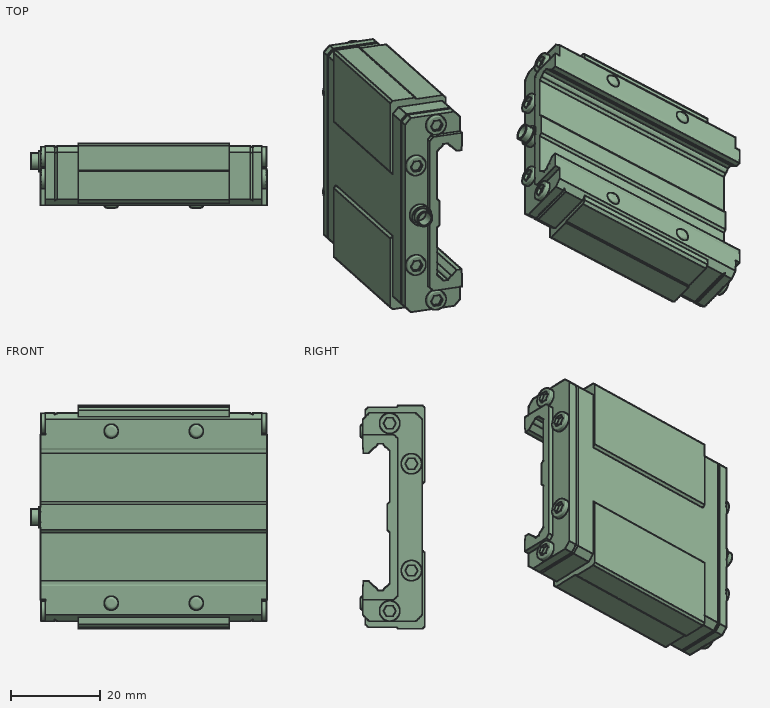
import cadquery as cq
import math


back_depth = 0.6
front_depth = 13.9
body_half_height = 23.3
body_chamfer = 1.45
channel_floor_depth = 7.9
lip_half_opening = 14.25
lip_recess = 0.1
lip_recess_start = 15.05
lip_recess_end = 15.45

track_depth = 9.95
track_half_mouth = 2.65
rod_edge = 1.45
rod_middle = 0.95
rod_middle_half_height = 15.8
relief_half_width = 0.6
relief_half_height = 16.4

rib_half_height = 2.85
rib_rise = 0.6

liner_half_length = 25.35
body_half_length = 24.2
block_half_length = 16.9
nipple_tip = 27.5

liner_back_depth = 6.0
liner_half_height = 18.45
liner_chamfer = 0.9

seam_start = 21.55
seam_width = 0.6
seam_depth = 0.35

block_half_height = 25.0
block_lower_half_height = 24.65
block_step_depth = 6.1
block_step_slope = 0.15
block_front_depth = 13.35
block_front_chamfer = 0.7
pad_chamfer = 0.55
pad_inner_half_height = 7.4
block_buried_half_height = 19.55

end_screw_places = [(7.9, 21.0), (3.0, 11.95)]
end_screw_radius = 2.25
end_screw_round = 0.2
end_screw_end = 25.25
hex_across_flats = 2.45
hex_depth = 0.8

nipple_depth = 4.0
nipple_radius = 1.85
nipple_bore_radius = 1.55
nipple_bore_depth = 3.15
collar_radius = 2.3
collar_end = 25.75

dome_x = 9.5
dome_z = 19.25
dome_radius = 1.6
dome_rise = 0.6
dome_round = 0.75
dome_embed = 1.05


def extrude_section(section, half_length):
    """Extrude a closed YZ section symmetrically along X."""
    return section.close().extrude(half_length, both=True)


def with_mirror(solid, plane):
    return solid.union(solid.mirror(plane))


def track_point(offset, height):
    """Point at a signed offset from the ball track axis, positive toward the front."""
    return (-(track_depth + offset), height)


def carriage_section():
    """Upper half of the carriage section."""
    flank_height = lip_half_opening + track_half_mouth - rod_edge
    floor_offset = track_depth - channel_floor_depth
    floor_corner_height = lip_half_opening + track_half_mouth - floor_offset
    lip_front_depth = front_depth - lip_recess
    return (
        cq.Workplane("YZ")
        .moveTo(-back_depth, 0)
        .lineTo(-back_depth, body_half_height - body_chamfer)
        .lineTo(-back_depth - body_chamfer, body_half_height)
        .lineTo(-front_depth + body_chamfer, body_half_height)
        .lineTo(-front_depth, body_half_height - body_chamfer)
        .lineTo(-front_depth, lip_recess_end)
        .lineTo(-lip_front_depth, lip_recess_start)
        .lineTo(-lip_front_depth, lip_half_opening)
        .lineTo(*track_point(track_half_mouth, lip_half_opening))
        .lineTo(*track_point(rod_edge, flank_height))
        .threePointArc(
            track_point(rod_middle, rod_middle_half_height),
            track_point(relief_half_width, relief_half_height),
        )
        .lineTo(*track_point(-relief_half_width, relief_half_height))
        .threePointArc(
            track_point(-rod_middle, rod_middle_half_height),
            track_point(-rod_edge, flank_height),
        )
        .lineTo(-channel_floor_depth, floor_corner_height)
        .lineTo(-channel_floor_depth, rib_half_height + rib_rise)
        .lineTo(-channel_floor_depth - rib_rise, rib_half_height)
        .lineTo(-channel_floor_depth - rib_rise, 0)
    )


def liner_region():
    """Upper half of the region that bounds the liner within the carriage section."""
    return (
        cq.Workplane("YZ")
        .moveTo(-liner_back_depth, 0)
        .lineTo(-liner_back_depth, liner_half_height - liner_chamfer)
        .lineTo(-liner_back_depth - liner_chamfer, liner_half_height)
        .lineTo(-front_depth, liner_half_height)
        .lineTo(-front_depth, 0)
    )


def seam_cutter():
    """Groove of triangular section around the back and sides, deepest toward the end plate."""
    core_front = 2 * front_depth
    corner_height = body_half_height - body_chamfer
    chamfer_end = back_depth + body_chamfer
    taper = math.degrees(math.atan2(seam_depth, seam_width))
    plane = cq.Workplane("YZ", origin=(seam_start, 0, 0))
    core = plane.polyline([
        (-core_front, -body_half_height),
        (-chamfer_end, -body_half_height),
        (-back_depth, -corner_height),
        (-back_depth, corner_height),
        (-chamfer_end, body_half_height),
        (-core_front, body_half_height),
    ]).close().extrude(seam_width, taper=taper)
    slab_height = 3 * body_half_height
    slab = plane.center(-front_depth / 2, 0).rect(core_front, slab_height).extrude(seam_width)
    return slab.cut(core)


def block_section():
    """Upper half of the steel block section, reaching down to the inner edge of its pad."""
    pad_edge = block_half_height - pad_chamfer
    chamfer_height = block_lower_half_height - block_front_chamfer
    return (
        cq.Workplane("YZ")
        .moveTo(-back_depth, pad_inner_half_height)
        .lineTo(0, pad_inner_half_height + back_depth)
        .lineTo(0, pad_edge)
        .lineTo(-pad_chamfer, block_half_height)
        .lineTo(-block_step_depth, block_half_height)
        .lineTo(-block_step_depth - block_step_slope, block_lower_half_height)
        .lineTo(-block_front_depth + block_front_chamfer, block_lower_half_height)
        .lineTo(-block_front_depth, chamfer_height)
        .lineTo(-block_front_depth, block_buried_half_height)
        .lineTo(-liner_back_depth, block_buried_half_height)
        .lineTo(-liner_back_depth, pad_inner_half_height)
    )


def end_screw(depth, height):
    """Socket head on the +X end plate."""
    head = (
        cq.Workplane("YZ", origin=(body_half_length, -depth, height))
        .circle(end_screw_radius)
        .extrude(end_screw_end - body_half_length)
        .faces(">X").edges().fillet(end_screw_round)
    )
    hex_diameter = hex_across_flats / math.cos(math.pi / 6)
    socket = (
        cq.Workplane("YZ", origin=(end_screw_end, -depth, height))
        .polygon(6, hex_diameter)
        .extrude(-hex_depth)
    )
    return head.cut(socket)


def nipple():
    """Hollow grease nipple with its collar, on the -X end plate."""
    base = cq.Workplane("YZ", origin=(-body_half_length, -nipple_depth, 0))
    collar = base.circle(collar_radius).extrude(body_half_length - collar_end)
    tube = base.circle(nipple_radius).extrude(body_half_length - nipple_tip)
    bore = (
        cq.Workplane("YZ", origin=(-nipple_tip, -nipple_depth, 0))
        .circle(nipple_bore_radius)
        .extrude(nipple_bore_depth)
    )
    return collar.union(tube), bore


def dome_screw(x, z):
    return (
        cq.Workplane("XZ", origin=(x, -front_depth + dome_embed, z))
        .circle(dome_radius)
        .extrude(dome_embed + dome_rise)
        .faces("<Y").edges().fillet(dome_round)
    )


body = with_mirror(extrude_section(carriage_section(), body_half_length), "XY")
seam = seam_cutter()
body = body.cut(seam).cut(seam.mirror("YZ"))

liner = extrude_section(carriage_section(), liner_half_length)
liner = liner.intersect(extrude_section(liner_region(), liner_half_length))
body = body.union(with_mirror(liner, "XY"))

block = extrude_section(block_section(), block_half_length)
body = body.union(with_mirror(block, "XY"))

for depth, height in end_screw_places:
    screws = with_mirror(end_screw(depth, height), "XY")
    body = body.union(with_mirror(screws, "YZ"))

for x in (-dome_x, dome_x):
    for z in (-dome_z, dome_z):
        body = body.union(dome_screw(x, z))

nipple_body, nipple_bore = nipple()
result = body.union(nipple_body).cut(nipple_bore)